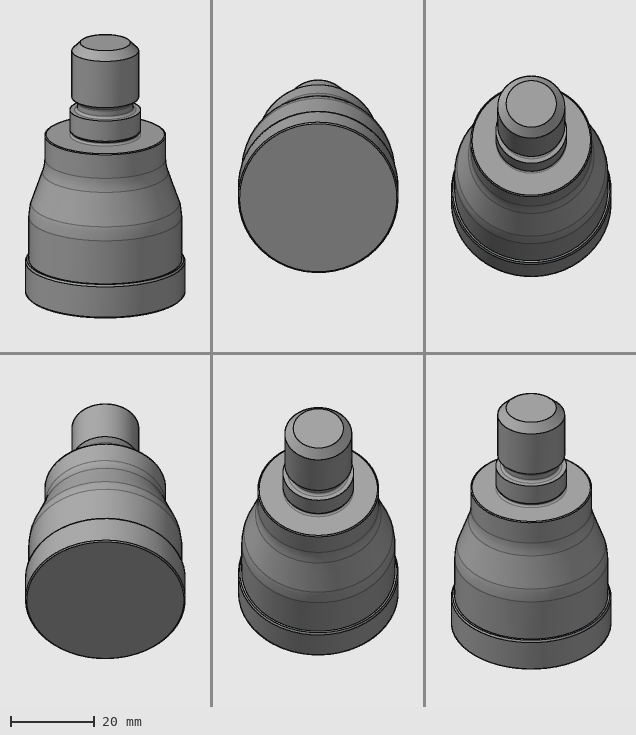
import cadquery as cq
import math

stud_top = 63.0
stud_radius = 8.0
stud_chamfer = 2.0
stud_bottom = 49.3
runout_angle = math.radians(38)
runout_fillet = 0.55
undercut_radius = 6.7
undercut_bottom_fillet = 0.6

collar_radius = 8.45
collar_top = 46.1
collar_bottom = 41.0
neck_radius = 7.95
neck_fillet = 0.5

shoulder_radius = 14.4
shoulder_top = 39.8
shoulder_edge_width = 0.3
shoulder_edge_height = 0.2
shoulder_bottom = 33.7
barrel_radius = 18.3
barrel_top = 19.3
blend_height = 3.35

base_diameter = 38.1
base_radius = base_diameter / 2
base_height = 8.45
base_top_chamfer_width = 0.3
base_top_chamfer_height = 0.5
base_bottom_chamfer = 0.3


def revolve_about_z(profile):
    """Close a radius-height outline and turn it one full revolution about the Z axis."""
    return profile.close().revolve(360, (0, 0, 0), (0, 1, 0))


def cone_angle(swell, height, blend):
    """Angle from vertical of the cone that joins the two blend arcs tangentially.

    It solves swell = (height - 2 * blend) * tan(angle) + 2 * blend * tan(angle / 2),
    by repeated substitution, starting from the straight chord between the cylinders.
    """
    iterations = 20
    straight = height - 2 * blend
    angle = math.atan(swell / height)
    for _ in range(iterations):
        angle = math.atan((swell - 2 * blend * math.tan(angle / 2)) / straight)
    return angle


def add_barrel_and_shoulder(profile):
    """Outline from the foot of the barrel up to the flat shoulder top."""
    angle = cone_angle(barrel_radius - shoulder_radius, shoulder_bottom - barrel_top, blend_height)
    blend_radius = blend_height / math.sin(angle)
    blend_width = blend_height * math.tan(angle / 2)
    return (
        profile.lineTo(barrel_radius, base_height)
        .lineTo(barrel_radius, barrel_top)
        .radiusArc((barrel_radius - blend_width, barrel_top + blend_height), -blend_radius)
        .lineTo(shoulder_radius + blend_width, shoulder_bottom - blend_height)
        .radiusArc((shoulder_radius, shoulder_bottom), blend_radius)
        .lineTo(shoulder_radius, shoulder_top - shoulder_edge_height)
        .lineTo(shoulder_radius - shoulder_edge_width, shoulder_top)
    )


def add_neck_and_collar(profile):
    """Outline from the shoulder top up the filleted neck and over the collar."""
    collar_chamfer = collar_radius - neck_radius
    return (
        profile.lineTo(neck_radius + neck_fillet, shoulder_top)
        .radiusArc((neck_radius, shoulder_top + neck_fillet), neck_fillet)
        .lineTo(neck_radius, collar_bottom - collar_chamfer)
        .lineTo(collar_radius, collar_bottom)
        .lineTo(collar_radius, collar_top)
    )


def add_stud_end(profile):
    """Outline from the collar top through the undercut to the stud tip."""
    arc_width = runout_fillet * (1 - math.sin(runout_angle))
    arc_height = runout_fillet * math.cos(runout_angle)
    runout_radius = undercut_radius + arc_width
    runout_bottom = stud_bottom - (stud_radius - runout_radius) * math.tan(runout_angle)
    return (
        profile.lineTo(undercut_radius + undercut_bottom_fillet, collar_top)
        .radiusArc((undercut_radius, collar_top + undercut_bottom_fillet), undercut_bottom_fillet)
        .lineTo(undercut_radius, runout_bottom - arc_height)
        .radiusArc((runout_radius, runout_bottom), runout_fillet)
        .lineTo(stud_radius, stud_bottom)
        .lineTo(stud_radius, stud_top - stud_chamfer)
        .lineTo(stud_radius - stud_chamfer, stud_top)
        .lineTo(0, stud_top)
    )


def make_studded_body():
    """Turned body with its stud, revolved about the Z axis."""
    profile = cq.Workplane("XZ").moveTo(0, base_height)
    profile = add_barrel_and_shoulder(profile)
    profile = add_neck_and_collar(profile)
    profile = add_stud_end(profile)
    return revolve_about_z(profile)


def make_base():
    """Base disc with a steep top chamfer and an even bottom chamfer."""
    profile = (
        cq.Workplane("XZ")
        .lineTo(base_radius - base_bottom_chamfer, 0)
        .lineTo(base_radius, base_bottom_chamfer)
        .lineTo(base_radius, base_height - base_top_chamfer_height)
        .lineTo(base_radius - base_top_chamfer_width, base_height)
        .lineTo(0, base_height)
    )
    return revolve_about_z(profile)


studded_body = make_studded_body()
base = make_base()

result = cq.Compound.makeCompound([studded_body.val(), base.val()])